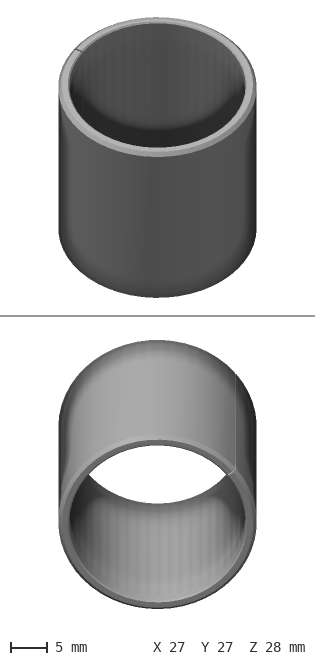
import cadquery as cq

outer_diameter = 27.0
bore_diameter = 24.0
length = 28.0
outer_chamfer = 0.5
bore_chamfer = 0.2
gap_angle = 1.0

full_turn = 360.0
outer_radius = outer_diameter / 2
bore_radius = bore_diameter / 2


def wall_section():
    """Chamfered wall profile in the XZ plane, on the -X side of the axis."""
    corners = [
        (-bore_radius - bore_chamfer, 0),
        (-outer_radius + outer_chamfer, 0),
        (-outer_radius, outer_chamfer),
        (-outer_radius, length - outer_chamfer),
        (-outer_radius + outer_chamfer, length),
        (-bore_radius - bore_chamfer, length),
        (-bore_radius, length - bore_chamfer),
        (-bore_radius, bore_chamfer),
    ]
    return cq.Workplane("XZ").polyline(corners).close()


result = wall_section().revolve(full_turn - gap_angle, (0, 0), (0, 1))